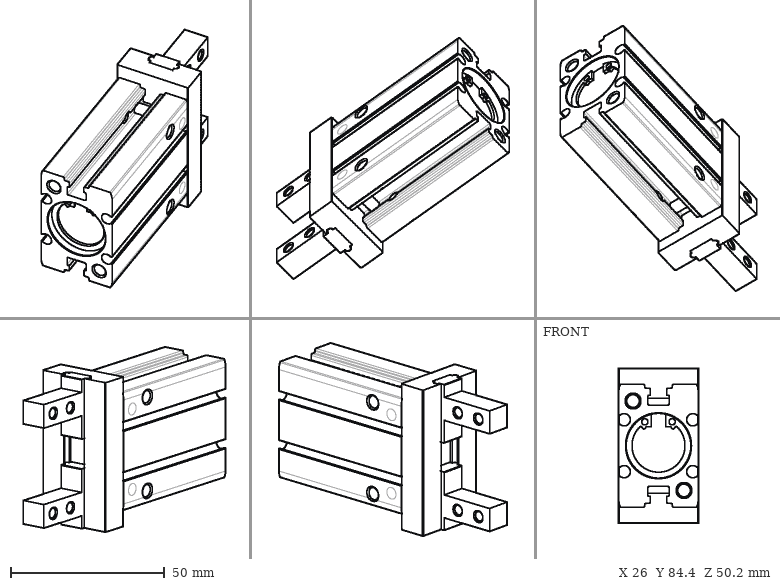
import cadquery as cq
import math


total_length = 84.4
width = 26.0
half_width = width / 2
plate_height = 50.2
body_height = 40.0
half_body = body_height / 2
body_length = 53.6
plate_end = 63.1
plate_edge_chamfer = 0.25

corner_start_z = 17.5
corner_radius = 5.1
edge_radius = 0.5

slot_mouth = 9.0
slot_neck = 5.3
slot_foot = 6.9
slot_step_z = 18.7
slot_lip_z = 16.5
slot_floor_z = 13.2

groove_diameter = 4.0
groove_x = 11.1
groove_z = 8.4
groove_mouth = 2.9
groove_chamfer = 0.2

bore_diameter = 21.0
bore_chamfer = 0.21
ring_depth = 2.8
ring_thickness = 1.0
ring_inner_diameter = 17.2
ring_gap = 4.7
ear_bottom_z = 6.25
ear_corner_x = 4.7
ear_corner_z = 5.3
ear_hole_diameter = 2.0
ear_hole_x = 4.43
ear_hole_z = 7.8

screw_diameter = 4.1
screw_chamfer = 0.5
port_x = 8.3
port_z = 14.5
port_depth = 10.1
cross_hole_y = 41.1
cross_hole_z = 15.8
pin_diameter = 4.0
pin_y = 49.2
pin_z = 13.5

finger_width = 8.5
finger_height = 7.9
finger_z = 16.8
shoulder_start = 59.4
shoulder_end = 64.6
shoulder_inner_z = 5.0
shoulder_chamfer = 0.2
rail_y = 61.45
rail_radius = 1.0
rail_groove_radius = 1.2
finger_hole_diameter = 3.2
finger_hole_chamfer = 0.4
finger_hole_tip_offset = 5.0
finger_hole_pitch = 9.0


def along_y(outline, start, length):
    """Extrude a closed outline drawn in X and Z along +Y from the given Y."""
    return outline.extrude(-length).translate((0, start, 0))


def chamfered_cutter(diameter, chamfer, depth):
    """Round cutter along +Z with an entry chamfer at Z = 0."""
    hole = cq.Workplane("XY").circle(diameter / 2).extrude(depth)
    radius = diameter / 2
    cone = cq.Solid.makeCone(radius + chamfer, radius, chamfer)
    return hole.union(cq.Workplane(obj=cone))


def hole_along_y(diameter, chamfer, depth):
    """Hole cutter along +Y, with its entry chamfer at Y = 0."""
    return chamfered_cutter(diameter, chamfer, depth).rotate((0, 0, 0), (1, 0, 0), -90)


def through_hole_along_x(diameter, chamfer, length):
    """Hole cutter along X, centred on X = 0, with a chamfer at both ends."""
    half = chamfered_cutter(diameter, chamfer, length / 2)
    half = half.rotate((0, 0, 0), (0, 1, 0), 90).translate((-length / 2, 0, 0))
    return half.union(half.mirror("YZ"))


def body_blank():
    """Body prism whose sides curve inwards towards the top and bottom faces."""
    drop = half_body - corner_start_z

    def on_corner(dz):
        return half_width - corner_radius + math.sqrt(corner_radius**2 - dz**2)

    middle_x = on_corner(drop / 2)
    top_x = on_corner(drop)
    middle_z = corner_start_z + drop / 2
    outline = (
        cq.Workplane("XZ")
        .moveTo(half_width, -corner_start_z)
        .lineTo(half_width, corner_start_z)
        .threePointArc((middle_x, middle_z), (top_x, half_body))
        .lineTo(-top_x, half_body)
        .threePointArc((-middle_x, middle_z), (-half_width, corner_start_z))
        .lineTo(-half_width, -corner_start_z)
        .threePointArc((-middle_x, -middle_z), (-top_x, -half_body))
        .lineTo(top_x, -half_body)
        .threePointArc((middle_x, -middle_z), (half_width, -corner_start_z))
        .close()
    )
    return along_y(outline, 0, body_length)


def top_slot():
    """Stepped T-slot: a wide mouth, a narrow neck and a wider foot."""
    mouth = slot_mouth / 2
    neck = slot_neck / 2
    foot = slot_foot / 2
    outline = cq.Workplane("XZ").polyline(
        [
            (-mouth, half_body),
            (-mouth, slot_step_z),
            (-neck, slot_step_z),
            (-neck, slot_lip_z),
            (-foot, slot_lip_z),
            (-foot, slot_floor_z),
            (foot, slot_floor_z),
            (foot, slot_lip_z),
            (neck, slot_lip_z),
            (neck, slot_step_z),
            (mouth, slot_step_z),
            (mouth, half_body),
        ]
    ).close()
    return along_y(outline, 0, body_length)


def side_groove():
    """Round groove with a narrower, chamfered mouth, in the +X side at Z = 0."""
    mouth = groove_mouth / 2
    channel = along_y(cq.Workplane("XZ").center(groove_x, 0).circle(groove_diameter / 2), 0, body_length)
    opening = along_y(
        cq.Workplane("XZ").polyline(
            [
                (groove_x, -mouth),
                (half_width - groove_chamfer, -mouth),
                (half_width, -mouth - groove_chamfer),
                (half_width, mouth + groove_chamfer),
                (half_width - groove_chamfer, mouth),
                (groove_x, mouth),
            ]
        ).close(),
        0,
        body_length,
    )
    return channel.union(opening)


def is_foot_corner(point):
    """True for the four corners of each slot's wide foot, not for the edges of its neck."""
    beyond_neck = slot_neck / 2 + edge_radius / 2
    return beyond_neck < abs(point.x) < slot_mouth / 2 and abs(point.z) < slot_lip_z + edge_radius


def body_profile():
    """Extruded body section with rounded corners, T-slots and side grooves."""
    body = body_blank().cut(top_slot()).cut(top_slot().mirror("XY"))
    foot_edges = body.edges("|Y").filter(lambda edge: is_foot_corner(edge.Center()))
    body = body.newObject(foot_edges.vals()).fillet(edge_radius)
    outer_edges = body.edges("|Y").filter(lambda edge: abs(edge.Center().z) > slot_step_z - edge_radius)
    body = body.newObject(outer_edges.vals()).fillet(edge_radius)
    for z in (-groove_z, groove_z):
        groove = side_groove().translate((0, 0, z))
        body = body.cut(groove).cut(groove.mirror("YZ"))
    return body


def retaining_ring():
    """Open ring in the bore with two square ears, each with a hole."""
    outer = cq.Workplane("XZ").circle(bore_diameter / 2)
    disc = along_y(outer, ring_depth, ring_thickness)
    opening = along_y(cq.Workplane("XZ").circle(ring_inner_diameter / 2), ring_depth, ring_thickness)
    gap_x = ring_gap / 2
    shoulder_x = ear_corner_x - (ear_bottom_z - ear_corner_z)
    ear_reach = bore_diameter / 2 - ear_corner_z
    ear = along_y(
        cq.Workplane("XZ").polyline(
            [
                (gap_x, bore_diameter / 2),
                (gap_x, ear_bottom_z),
                (shoulder_x, ear_bottom_z),
                (ear_corner_x, ear_corner_z),
                (ear_corner_x + ear_reach, bore_diameter / 2),
            ]
        ).close(),
        ring_depth,
        ring_thickness,
    ).intersect(disc)
    gap = cq.Workplane("XY").box(ring_gap, bore_diameter, bore_diameter, centered=(True, True, False))
    ring = disc.cut(opening).cut(gap).union(ear).union(ear.mirror("YZ"))
    for x in (-ear_hole_x, ear_hole_x):
        hole = cq.Workplane("XZ").center(x, ear_hole_z).circle(ear_hole_diameter / 2)
        ring = ring.cut(along_y(hole, ring_depth, ring_thickness))
    return ring


def guide_section(arc_radius, end):
    """Outline in X and Y of the finger shoulder, or of its guide, with a round rail on each side."""
    half = finger_width / 2
    return (
        cq.Workplane("XY")
        .moveTo(-half, shoulder_start)
        .lineTo(half, shoulder_start)
        .lineTo(half, rail_y - arc_radius)
        .threePointArc((half + arc_radius, rail_y), (half, rail_y + arc_radius))
        .lineTo(half, end)
        .lineTo(-half, end)
        .lineTo(-half, rail_y + arc_radius)
        .threePointArc((-half - arc_radius, rail_y), (-half, rail_y - arc_radius))
        .close()
    )


def cross_plate():
    """Plate across the end of the body, with the guide slot for the fingers along Z."""
    thickness = plate_end - body_length
    plate = cq.Workplane("XY").box(width, thickness, plate_height, centered=(True, False, True))
    plate = plate.edges("|Z").chamfer(plate_edge_chamfer).translate((0, body_length, 0))
    guide = guide_section(rail_groove_radius, plate_end).extrude(plate_height / 2, both=True)
    return plate.cut(guide)


def make_housing():
    """Body, retaining ring, cross plate and flush cross pins as one solid."""
    body = body_profile()
    for side in (-1, 1):
        cross_hole = through_hole_along_x(screw_diameter, screw_chamfer, width)
        body = body.cut(cross_hole.translate((0, cross_hole_y, side * cross_hole_z)))
        port = hole_along_y(screw_diameter, screw_chamfer, port_depth)
        body = body.cut(port.translate((-side * port_x, 0, side * port_z)))
    bore = hole_along_y(bore_diameter, bore_chamfer, ring_depth + ring_thickness)
    housing = body.cut(bore).union(retaining_ring()).union(cross_plate())
    for side in (-1, 1):
        pin = cq.Workplane("YZ").center(pin_y, side * pin_z).circle(pin_diameter / 2).extrude(width)
        housing = housing.union(pin.translate((-half_width, 0, 0)), clean=False)
    return housing


def make_finger():
    """Upper finger: a shoulder that slides in the plate and a bar with two cross holes."""
    shoulder_height = plate_height / 2 - shoulder_inner_z
    shoulder = guide_section(rail_radius, shoulder_end).extrude(shoulder_height)
    shoulder = shoulder.edges(">Y and |X").chamfer(shoulder_chamfer)
    shoulder = shoulder.translate((0, 0, shoulder_inner_z))
    bar_length = total_length - shoulder_start
    bar = cq.Workplane("XY").box(finger_width, bar_length, finger_height, centered=(True, False, True))
    finger = shoulder.union(bar.translate((0, shoulder_start, finger_z)))
    for index in range(2):
        y = total_length - finger_hole_tip_offset - index * finger_hole_pitch
        hole = through_hole_along_x(finger_hole_diameter, finger_hole_chamfer, finger_width)
        finger = finger.cut(hole.translate((0, y, finger_z)))
    return finger


housing = make_housing()
upper_finger = make_finger()
fingers = [upper_finger.val(), upper_finger.mirror("XY").val()]

result = cq.Compound.makeCompound([housing.val(), *fingers])